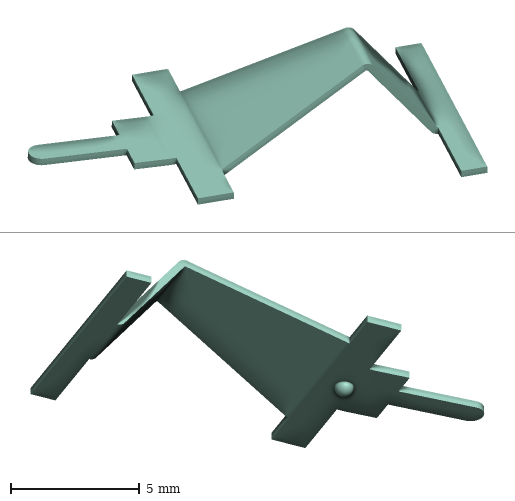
import cadquery as cq
import math

length = 17.35
height = 3.83
thickness = 0.3
bend_radius = 0.07
bar_width = 9.02
strap_width = 2.67
fan_width = 5.7
tab_width = 3.09
pin_width = 1.0
dimple_radius = 0.38

foot_bend_y = 16.3
shoulder_top_z = 1.05
shoulder_front_y = 5.57
tail_bend_y = 5.25
tab_front_y = 3.87
dimple_y = 5.97

rise_angle = 52.6
fan_angle = 23.9
tail_angle = 3.0


def along(point, distance, angle):
    """Move a (y, z) point toward -Y, climbing at the given angle."""
    slope = math.radians(angle)
    return (point[0] - distance * math.cos(slope), point[1] + distance * math.sin(slope))


def plate(start, angle, outline):
    """Sheet whose top face starts at a (y, z) point; outline(workplane) draws it with local Y forward."""
    slope = math.radians(angle)
    top_face = cq.Plane(
        origin=(0, start[0], start[1]),
        xDir=(-1, 0, 0),
        normal=(0, math.sin(slope), math.cos(slope)),
    )
    return outline(cq.Workplane(top_face)).close().extrude(-thickness)


def tapered(start_width, end_width, run):
    """Outline function for a symmetric trapezoid."""
    def outline(workplane):
        return workplane.polyline([
            (-start_width / 2, 0),
            (start_width / 2, 0),
            (end_width / 2, run),
            (-end_width / 2, run),
        ])
    return outline


def bend(centre, first_angle, second_angle, width, inner_radius=0.0):
    """Ring sector about the (y, z) centre between two angles; a zero inner radius gives a sharp inside."""
    outer_radius = inner_radius + thickness
    angles = (first_angle, (first_angle + second_angle) / 2, second_angle)
    outer = [along(centre, outer_radius, angle) for angle in angles]
    inner = [along(centre, inner_radius, angle) for angle in angles]
    profile = (
        cq.Workplane("YZ", origin=(-width / 2, 0, 0))
        .moveTo(*inner[0])
        .lineTo(*outer[0])
        .threePointArc(outer[1], outer[2])
        .lineTo(*inner[2])
    )
    if inner_radius > 0:
        profile = profile.threePointArc(inner[1], inner[0])
    return profile.close().extrude(width)


outer_bend_radius = bend_radius + thickness
foot_start = (length, thickness)
foot_centre = (foot_bend_y, outer_bend_radius)
rise_start = along(foot_centre, bend_radius, rise_angle - 90)
rise_under_start = along(foot_centre, outer_bend_radius, rise_angle - 90)
peak_centre_z = height - outer_bend_radius
rise_under_end_z = peak_centre_z + bend_radius * math.cos(math.radians(rise_angle))
rise_length = (rise_under_end_z - rise_under_start[1]) / math.sin(math.radians(rise_angle))
rise_under_end = along(rise_under_start, rise_length, rise_angle)
peak_centre = along(rise_under_end, bend_radius, rise_angle - 90)
fan_start = along(peak_centre, outer_bend_radius, 90 - fan_angle)
fan_length = (fan_start[1] - shoulder_top_z) / math.sin(math.radians(fan_angle))
shoulder_pivot = along(fan_start, fan_length, -fan_angle)
tail_pivot = (tail_bend_y, shoulder_top_z)

tail_cosine = math.cos(math.radians(tail_angle))
tab_length = (tail_bend_y - tab_front_y) / tail_cosine
tail_length = tail_bend_y / tail_cosine - thickness * math.tan(math.radians(tail_angle))


def tail_outline(workplane):
    """Tab stepping down to a narrow pin with a full-round tip."""
    pin_radius = pin_width / 2
    pin_straight = tail_length - pin_radius
    return (
        workplane.moveTo(-tab_width / 2, 0)
        .lineTo(tab_width / 2, 0)
        .lineTo(tab_width / 2, tab_length)
        .lineTo(pin_radius, tab_length)
        .lineTo(pin_radius, pin_straight)
        .threePointArc((0, tail_length), (-pin_radius, pin_straight))
        .lineTo(-pin_radius, tab_length)
        .lineTo(-tab_width / 2, tab_length)
    )


foot = plate(foot_start, 0, tapered(bar_width, bar_width, length - foot_bend_y))
rise = plate(rise_start, rise_angle, tapered(strap_width, strap_width, rise_length))
fan = plate(fan_start, -fan_angle, tapered(strap_width, fan_width, fan_length))
shoulder_length = shoulder_pivot[0] - shoulder_front_y
shoulder = plate(shoulder_pivot, 0, tapered(bar_width, bar_width, shoulder_length))
neck_start = (shoulder_front_y, shoulder_top_z)
neck = plate(neck_start, 0, tapered(tab_width, tab_width, shoulder_front_y - tail_bend_y))
tail = plate(tail_pivot, tail_angle, tail_outline)

foot_bend = bend(foot_centre, -90, rise_angle - 90, strap_width, bend_radius)
peak_bend = bend(peak_centre, rise_angle + 90, 90 - fan_angle, strap_width, bend_radius)
shoulder_bend = bend(shoulder_pivot, -90 - fan_angle, -90, fan_width)
tail_bend = bend(tail_pivot, -90, tail_angle - 90, tab_width)

shoulder_under_z = shoulder_top_z - thickness
dimple = (
    cq.Workplane(origin=(0, dimple_y, shoulder_under_z))
    .sphere(dimple_radius, angle1=-90, angle2=0)
)

result = foot
for piece in (foot_bend, rise, peak_bend, fan, shoulder_bend, shoulder, neck, tail_bend, tail, dimple):
    result = result.union(piece)